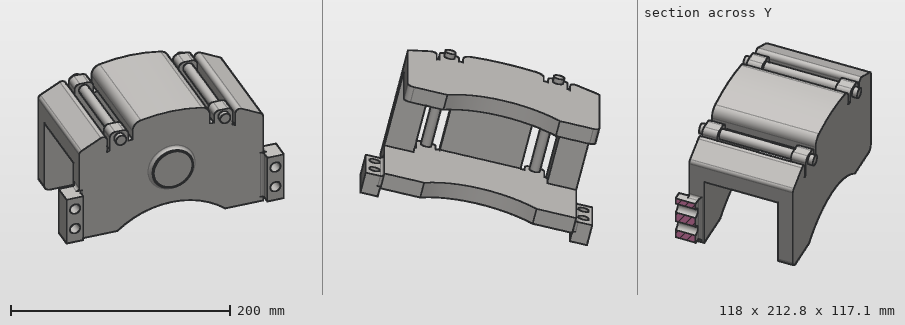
import cadquery as cq
import math

body_width = 103.0
half_length = 90.1
wall_thickness = 15.0
shoulder_underside = 73.6
foot_radius = 6.0

arch_half_span = 52.8
arch_rise = 19.0

crown_height = 117.07
crown_radius = 154.5
centre_half_length = 37.9
centre_underside = 96.0
centre_corner_radius = 10.0

pin_offset = 51.0
pin_height = 100.4
pin_diameter = 10.0
pin_overhang = 5.0
lug_width = 18.2
lug_top = 107.4
lug_corner_radius = 5.0

outer_slot_width = 2.6
outer_slot_floor = 87.5
outer_slot_rise = 1.4
inner_slot_floor = 94.9
inner_slot_rise = 0.5

shoulder_height = 93.3
shoulder_slope = 0.505
shoulder_radius = 4.0
pad_tip_radius = 4.3

block_width = 20.0
block_x = 93.0
block_end = 106.41
block_bottom = 4.7
block_height = 47.3
weld_radius = 2.8
block_hole_diameter = 10.0
block_hole_offset = 98.1
block_hole_heights = (19.0, 40.1)

boss_height = 57.2
boss_radius = 20.0
boss_face_radius = 19.0
boss_rim_thickness = 4.0
boss_thickness = 5.0
boss_root_radius = 3.0

lug_inner = pin_offset - lug_width / 2
lug_outer = pin_offset + lug_width / 2
pad_tip = lug_outer + outer_slot_width
pad_tip_height = shoulder_height + (half_length - pad_tip) * shoulder_slope
crown_centre = crown_height - crown_radius
centre_corner_height = crown_centre + math.sqrt(crown_radius**2 - centre_half_length**2)


def round_edges(solid, corners, radius):
    """Fillet the edges along X that pass through the given (y, z) corners and their mirror images."""
    for y, z in corners:
        for side in (-1, 1):
            nearest = cq.selectors.NearestToPointSelector((body_width / 2, side * y, z))
            solid = solid.edges("|X").edges(nearest).fillet(radius)
    return solid


def make_profile():
    """Side outline of the body, extruded across its full width."""
    half_outline = [
        (centre_half_length, centre_corner_height),
        (centre_half_length, inner_slot_floor + inner_slot_rise),
        (lug_inner, inner_slot_floor),
        (lug_inner, lug_top),
        (lug_outer, lug_top),
        (lug_outer, outer_slot_floor + outer_slot_rise),
        (pad_tip, outer_slot_floor),
        (pad_tip, pad_tip_height),
        (half_length, shoulder_height),
        (half_length, 0),
        (arch_half_span, 0),
    ]
    mirrored_outline = [(-y, z) for y, z in reversed(half_outline)]
    profile = (
        cq.Workplane("YZ")
        .polyline(half_outline)
        .threePointArc((0, arch_rise), mirrored_outline[0])
        .polyline(mirrored_outline[1:], includeCurrent=True)
        .threePointArc((0, crown_height), half_outline[0])
        .close()
        .extrude(body_width)
    )
    profile = round_edges(profile, [(centre_half_length, centre_corner_height)], centre_corner_radius)
    profile = round_edges(profile, [(lug_inner, lug_top), (lug_outer, lug_top)], lug_corner_radius)
    profile = round_edges(profile, [(pad_tip, pad_tip_height)], pad_tip_radius)
    return round_edges(profile, [(half_length, shoulder_height)], shoulder_radius)


def make_body():
    """Profile hollowed between the walls, leaving a centre pad and two shoulders with pin windows between."""
    gap = body_width - 2 * wall_thickness

    def clearance(length, height):
        """Box that fills the gap between the walls, centred on Y = 0 and standing on Z = 0."""
        box = cq.Workplane("XY").box(gap, length, height, centered=(False, True, False))
        return box.translate((wall_thickness, 0, 0))

    body = (
        make_profile()
        .cut(clearance(2 * half_length, shoulder_underside))
        .cut(clearance(2 * centre_half_length, centre_underside))
    )
    window = clearance(pad_tip - centre_half_length, crown_height)
    window_centre = (pad_tip + centre_half_length) / 2
    for side in (-1, 1):
        body = body.cut(window.translate((0, side * window_centre, 0)))
        foot_corner = cq.selectors.NearestToPointSelector((wall_thickness / 2, side * half_length, 0))
        body = body.edges("|X").edges(foot_corner).fillet(foot_radius)
    return body


def make_pin(side):
    """Retaining pin through the lugs on one side."""
    return (
        cq.Workplane("YZ", origin=(-pin_overhang, 0, 0))
        .center(side * pin_offset, pin_height)
        .circle(pin_diameter / 2)
        .extrude(body_width + 2 * pin_overhang)
    )


def make_side_weld():
    """Concave weld bead between the +X wall face and the part of the block at +Y that overhangs it."""
    bulge = weld_radius * (1 - math.sqrt(0.5))
    return (
        cq.Workplane("XY", origin=(body_width, half_length, block_bottom))
        .lineTo(weld_radius, 0)
        .threePointArc((bulge, -bulge), (0, -weld_radius))
        .close()
        .extrude(block_height)
    )


def make_end_weld():
    """Mitred weld bead around three sides of the block at +Y, clipped to the end face of the wall."""
    block_length = block_end - half_length
    plate_margin = 2 * weld_radius
    bead_width = body_width - block_x + weld_radius
    block = cq.Workplane("XY").box(block_width, block_length, block_height, centered=False)
    plate = cq.Workplane("XY").box(
        block_width + plate_margin, plate_margin, block_height + 2 * plate_margin, centered=False
    )
    joint = block.union(plate.translate((-plate_margin, -plate_margin, -plate_margin)))
    root_points = [
        (0, 0, block_height / 2),
        (block_width / 2, 0, 0),
        (block_width / 2, 0, block_height),
    ]
    root_edges = [joint.edges(cq.selectors.NearestToPointSelector(point)).val() for point in root_points]
    joint = joint.newObject(root_edges).fillet(weld_radius)
    bead_limits = (
        cq.Workplane("XY")
        .box(bead_width, weld_radius, block_height + 2 * weld_radius, centered=False)
        .translate((-weld_radius, 0, -weld_radius))
    )
    return joint.intersect(bead_limits).translate((block_x, half_length, block_bottom))


def make_block():
    """Mounting block at +Y with two through holes and the weld beads along its root."""
    block_length = block_end - half_length
    block = (
        cq.Workplane("XY")
        .box(block_width, block_length, block_height, centered=False)
        .translate((block_x, half_length, block_bottom))
        .union(make_end_weld())
        .union(make_side_weld())
    )
    holes = (
        cq.Workplane("YZ", origin=(block_x, 0, 0))
        .pushPoints([(block_hole_offset, z) for z in block_hole_heights])
        .circle(block_hole_diameter / 2)
        .extrude(block_width)
    )
    return block.cut(holes)


def make_boss():
    """Stepped round boss with a concave root fillet, turned about an axis along X."""
    root_middle = boss_root_radius * (1 - math.sqrt(0.5))
    return (
        cq.Workplane("XY")
        .moveTo(0, 0)
        .lineTo(0, boss_radius + boss_root_radius)
        .threePointArc((root_middle, boss_radius + root_middle), (boss_root_radius, boss_radius))
        .lineTo(boss_rim_thickness, boss_radius)
        .lineTo(boss_rim_thickness, boss_face_radius)
        .lineTo(boss_thickness, boss_face_radius)
        .lineTo(boss_thickness, 0)
        .close()
        .revolve(360, (0, 0, 0), (1, 0, 0))
        .translate((body_width, 0, boss_height))
    )


block_at_end = make_block()
result = make_body().union(block_at_end).union(block_at_end.mirror("XZ"))
for end in (-1, 1):
    result = result.union(make_pin(end))
result = result.union(make_boss())